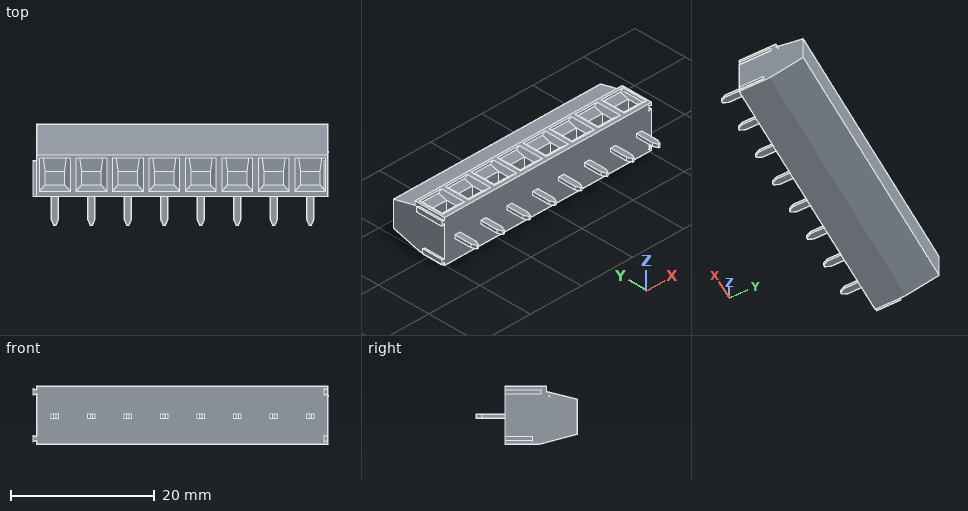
import cadquery as cq

poles = 8
pitch = 5.08
body_clearance = 0.1
body_length = poles * pitch - body_clearance

body_depth = 10.1
body_height = 8.1
collar_depth = 5.8
collar_step = 0.75
rear_top_drop = 1.8
rear_bottom_rise = 1.4
underside_depth = 4.85

funnel_width = 4.3
funnel_front = 0.75
funnel_back = 5.35
side_inset = 0.8
front_inset = 0.9
funnel_depth = 0.65
shelf_back_depth = 0.45
shelf_length = 1.85
well_depth = 4.0

pin_width = 1.0
pin_thickness = 0.6
pin_length = 4.0
pin_taper_length = 0.8
pin_tip_width = 0.3
pin_height = 3.9

dovetails = [(0.8, 3.85), (7.3, 5.0)]
dovetail_reach = 0.5
dovetail_wide = 0.9
dovetail_narrow = 0.55

nib_size = 0.1
nib_depth = 6.2
nib_height = 6.73


def housing():
    """Sloped housing section extruded along the row of poles."""
    section = [
        (0, 0),
        (underside_depth, 0),
        (body_depth, rear_bottom_rise),
        (body_depth, body_height - rear_top_drop),
        (collar_depth, body_height - collar_step),
        (collar_depth, body_height),
        (0, body_height),
    ]
    return cq.Workplane("YZ").polyline(section).close().extrude(body_length)


def polyhedron(points, faces):
    """Solid bounded by flat faces, each given as indices into points."""
    sides = []
    for face in faces:
        wire = cq.Wire.makePolygon([cq.Vector(*points[i]) for i in face], close=True)
        sides.append(cq.Face.makeFromWires(wire))
    return cq.Workplane(cq.Solid.makeSolid(cq.Shell.makeShell(sides)))


def funnel(x):
    """Funnel with three sloping walls, a sloping rear shelf and a straight well below."""
    half_top = funnel_width / 2
    half_well = half_top - side_inset
    half_shelf = half_top - side_inset * shelf_back_depth / funnel_depth
    well_front = funnel_front + front_inset
    well_back = funnel_back - shelf_length
    top = body_height
    shelf_z = top - shelf_back_depth
    bottom_z = top - funnel_depth
    points = [
        (x - half_top, funnel_front, top),
        (x + half_top, funnel_front, top),
        (x + half_top, funnel_back, top),
        (x - half_top, funnel_back, top),
        (x - half_well, well_front, bottom_z),
        (x + half_well, well_front, bottom_z),
        (x + half_well, well_back, bottom_z),
        (x - half_well, well_back, bottom_z),
        (x + half_shelf, funnel_back, shelf_z),
        (x - half_shelf, funnel_back, shelf_z),
    ]
    faces = [
        (0, 1, 2, 3),
        (0, 1, 5, 4),
        (1, 2, 8, 6, 5),
        (0, 3, 9, 7, 4),
        (2, 3, 9, 8),
        (6, 7, 9, 8),
        (4, 5, 6, 7),
    ]
    well = cq.Workplane("XY").box(
        2 * half_well, well_back - well_front, well_depth, centered=(True, False, False)
    )
    well = well.translate((x, well_front, bottom_z - well_depth))
    return polyhedron(points, faces).union(well)


def pin(x):
    """Flat pin with a tip narrowed in width only."""
    shoulder = -(pin_length - pin_taper_length)
    outline = [
        (x - pin_width / 2, 0),
        (x - pin_width / 2, shoulder),
        (x - pin_tip_width / 2, -pin_length),
        (x + pin_tip_width / 2, -pin_length),
        (x + pin_width / 2, shoulder),
        (x + pin_width / 2, 0),
    ]
    flat = cq.Workplane("XY").polyline(outline).close().extrude(pin_thickness)
    return flat.translate((0, 0, pin_height - pin_thickness / 2))


def dovetail(x, z, length):
    """Dovetail bar whose narrow root lies at x + reach and wide face at x."""
    section = [
        (x, z - dovetail_wide / 2),
        (x + dovetail_reach, z - dovetail_narrow / 2),
        (x + dovetail_reach, z + dovetail_narrow / 2),
        (x, z + dovetail_wide / 2),
    ]
    return cq.Workplane("XZ").polyline(section).close().extrude(-length)


def nib():
    """Spacer nib filling the clearance at the grooved end."""
    face = cq.Workplane("YZ").center(nib_depth, nib_height).rect(nib_size, nib_size)
    return face.extrude(body_clearance).translate((body_length, 0, 0))


result = housing().union(nib())
for height, length in dovetails:
    result = result.union(dovetail(-dovetail_reach, height, length))
    result = result.cut(dovetail(body_length - dovetail_reach, height, length))
for pole in range(poles):
    pole_x = (pole + 0.5) * pitch
    result = result.cut(funnel(pole_x)).union(pin(pole_x))